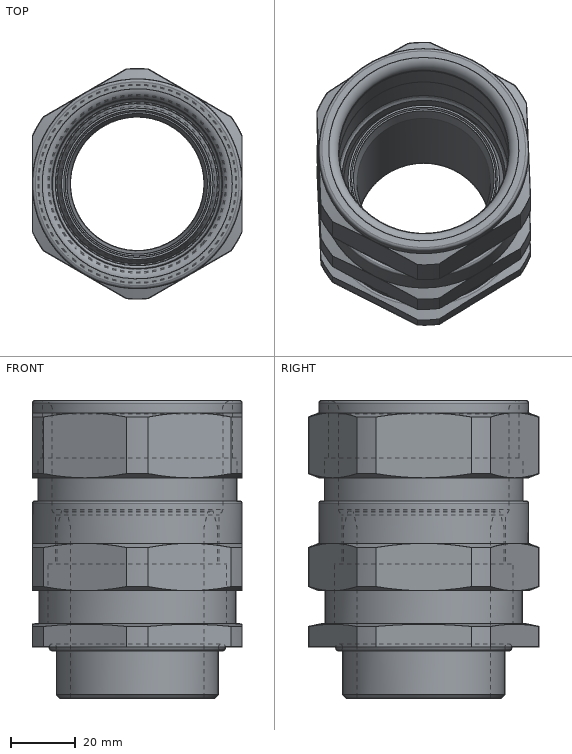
import cadquery as cq
import math


overall_height = 92.35
across_flats = 65.0
hex_corner_radius = 35.7
barrel_radius = across_flats / 2
passage_radius = 26.5
rim_fillet = 0.9
shoulder_fillet = 0.7
cut_margin = 9.2

base_hex_bottom = 16.0
base_hex_top = 23.2
base_bevel_radius = 31.4
base_bevel_rise = 0.9
middle_hex_bottom = 33.3
middle_hex_top = 48.0
nut_hex_bottom = 68.3
nut_hex_top = 88.5
hex_bevel_rise = 1.3

stem_radius = 25.1
stem_chamfer = 1.1
bore_radius = 20.7
spigot_radius = 27.7
spigot_top = 41.6
cone_base_radius = 24.8
cone_base_z = 53.2
cone_top_radius = 23.5
cone_top = 58.1
cone_lip_radius = 22.8
cone_step_radius = 22.35
cone_step_z = 57.7
throat_radius = 21.8
throat_bottom = 52.9

ring_wire_radius = 1.1
ring_bottom = 14.7

middle_neck_radius = 30.6
middle_top = 61.1
collar_radius = 30.8
collar_top = 74.4
funnel_top = 58.5
funnel_middle_radius = 26.1
funnel_middle_z = 57.6
funnel_throat_radius = 25.4
funnel_bottom = 56.8

seal_outer_radius = 29.5
seal_lip_radius = 26.3
seal_lip_bottom = 88.1
seal_roll_radius = seal_outer_radius - seal_lip_radius


def cylinder(radius, bottom, top):
    return cq.Workplane("XY").workplane(offset=bottom).circle(radius).extrude(top - bottom)


def revolve_profile(points):
    """Solid of revolution about Z from (radius, height) points."""
    return cq.Workplane("XZ").polyline(points).close().revolve(360, (0, 0), (0, 1))


def hexagon(bottom, top, top_bevel, bottom_bevel=None):
    """Hexagon with corners on +/-Y, trimmed to a turned blank; a bevel is (start radius, rise)."""
    corner_distance = across_flats / math.cos(math.pi / 6)
    prism = (
        cq.Workplane("XY")
        .workplane(offset=bottom)
        .polygon(6, corner_distance)
        .extrude(top - bottom)
        .rotate((0, 0, 0), (0, 0, 1), 30)
    )
    outline = [(0, bottom)]
    if bottom_bevel:
        start_radius, rise = bottom_bevel
        outline += [(start_radius, bottom), (hex_corner_radius, bottom + rise)]
    else:
        outline.append((hex_corner_radius, bottom))
    start_radius, rise = top_bevel
    outline += [(hex_corner_radius, top - rise), (start_radius, top), (0, top)]
    return prism.intersect(revolve_profile(outline))


def make_entry_body():
    stem = cylinder(stem_radius, 0, base_hex_bottom).faces("<Z").edges().chamfer(stem_chamfer)
    base_hex = hexagon(base_hex_bottom, base_hex_top, (base_bevel_radius, base_bevel_rise))
    spigot = cylinder(spigot_radius, base_hex_top, spigot_top)
    cone_post = revolve_profile([
        (0, spigot_top),
        (cone_base_radius, spigot_top),
        (cone_base_radius, cone_base_z),
        (cone_top_radius, cone_top),
        (0, cone_top),
    ])
    bore = revolve_profile([
        (0, -cut_margin),
        (bore_radius, -cut_margin),
        (bore_radius, throat_bottom),
        (throat_radius, cone_step_z),
        (cone_step_radius, cone_step_z),
        (cone_lip_radius, cone_top),
        (cone_lip_radius, cone_top + cut_margin),
        (0, cone_top + cut_margin),
    ])
    return stem.union(base_hex).union(spigot).union(cone_post).cut(bore).cut(make_o_ring())


def make_o_ring():
    centreline_radius = stem_radius + ring_wire_radius
    return (
        cq.Workplane("XZ")
        .moveTo(centreline_radius, ring_bottom + ring_wire_radius)
        .circle(ring_wire_radius)
        .revolve(360, (0, 0), (0, 1))
    )


def make_middle_body():
    bevel = (barrel_radius, hex_bevel_rise)
    neck = cylinder(middle_neck_radius, base_hex_top, middle_hex_bottom)
    hexagon_band = hexagon(middle_hex_bottom, middle_hex_top, bevel, bevel)
    barrel = cylinder(barrel_radius, middle_hex_top, middle_top)
    barrel = barrel.faces(">Z").edges().fillet(shoulder_fillet)
    collar = cylinder(collar_radius, middle_top, collar_top)
    cavity = revolve_profile([
        (0, base_hex_top - cut_margin),
        (spigot_radius, base_hex_top - cut_margin),
        (spigot_radius, spigot_top),
        (funnel_throat_radius, spigot_top),
        (funnel_throat_radius, funnel_bottom),
        (funnel_middle_radius, funnel_middle_z),
        (passage_radius, funnel_top),
        (passage_radius, collar_top + cut_margin),
        (0, collar_top + cut_margin),
    ])
    return neck.union(hexagon_band).union(barrel).union(collar).cut(cavity)


def make_top_nut():
    bevel = (barrel_radius, hex_bevel_rise)
    hexagon_band = hexagon(nut_hex_bottom, nut_hex_top, bevel, bevel)
    rim = cylinder(barrel_radius, nut_hex_top, overall_height)
    rim = rim.faces(">Z").edges().fillet(rim_fillet)
    collar_socket = cylinder(collar_radius, nut_hex_bottom - cut_margin, collar_top)
    seal_seat = cylinder(seal_outer_radius, collar_top, overall_height + cut_margin)
    return hexagon_band.union(rim).cut(collar_socket).cut(seal_seat)


def make_mouth_seal():
    roll_bottom = overall_height - seal_roll_radius
    roll_middle_offset = seal_roll_radius * math.sqrt(0.5)
    roll_middle = (seal_outer_radius - roll_middle_offset, roll_bottom + roll_middle_offset)
    return (
        cq.Workplane("XZ")
        .moveTo(passage_radius, collar_top)
        .lineTo(passage_radius, seal_lip_bottom)
        .lineTo(seal_lip_radius, seal_lip_bottom)
        .lineTo(seal_lip_radius, roll_bottom)
        .threePointArc(roll_middle, (seal_outer_radius, overall_height))
        .lineTo(seal_outer_radius, collar_top)
        .close()
        .revolve(360, (0, 0), (0, 1))
    )


entry_body = make_entry_body()
o_ring = make_o_ring()
middle_body = make_middle_body()
top_nut = make_top_nut()
mouth_seal = make_mouth_seal()

result = cq.Compound.makeCompound([
    entry_body.val(),
    o_ring.val(),
    middle_body.val(),
    top_nut.val(),
    mouth_seal.val(),
])